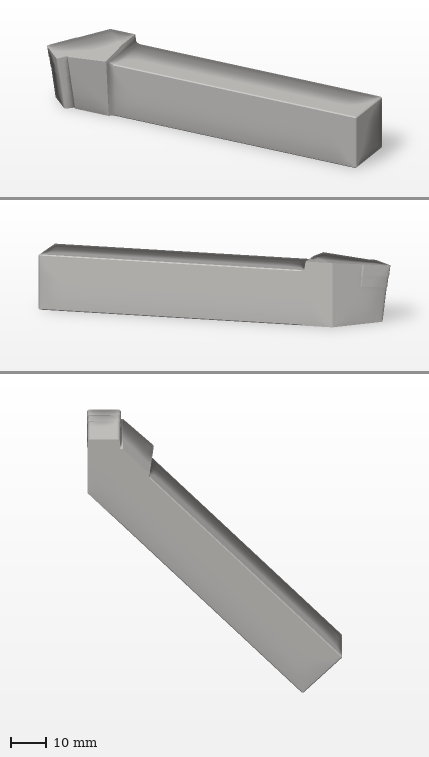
import cadquery as cq
import math


length = 99.7
shank_size = 15.9
shank_chamfer = 0.3

head_height = 18.5
corner_x = 13.2
head_end_x = 21.3
step_lean = 0.3
step_fillet = 0.9
front_y = -18.4
front_lean_angle = 5.6

insert_size = 9.6
insert_thickness = 3.2
nose_radius = 0.8
insert_overhang = 0.2
shim_inset = 0.1
shim_thickness = 3.2
post_inset = 0.2
post_radius = 0.9
end_wall_run = 3.1

nose_z = 15.9
nose_run = -9.6
corner_run = corner_x / math.sqrt(2)
side_face = -corner_run
tilt = math.atan((head_height - nose_z) / (corner_run - nose_run))
diagonal = math.sqrt(0.5)
insert_left = side_face + insert_overhang
insert_right = insert_left - insert_size

edge_middle = (insert_left + insert_right) / 2
seat = cq.Plane(
    origin=((nose_run - edge_middle) * diagonal, (nose_run + edge_middle) * diagonal, nose_z),
    xDir=(math.cos(tilt) * diagonal, math.cos(tilt) * diagonal, math.sin(tilt)),
    normal=(-math.sin(tilt) * diagonal, -math.sin(tilt) * diagonal, math.cos(tilt)),
)
reach = 2 * length
post_depth = 2 * head_height


def seat_block(start, end, half_width, top_depth, thickness, radius):
    """Block in the tilted seat frame with its four upright corners rounded."""
    block = (
        cq.Workplane(seat)
        .workplane(offset=-top_depth - thickness)
        .center((start + end) / 2, 0)
        .rect(end - start, 2 * half_width)
        .extrude(thickness)
    )
    axis = cq.Vector(seat.zDir)
    return block.edges(cq.selectors.ParallelDirSelector(axis)).fillet(radius)


def make_insert():
    return seat_block(0, insert_size, insert_size / 2, 0, insert_thickness, nose_radius)


def make_shank():
    shank = cq.Workplane("XY").box(length - corner_x, shank_size, shank_size, centered=False)
    shank = shank.translate((corner_x, -shank_size, 0))
    return shank.edges("|X or >X").chamfer(shank_chamfer)


def make_front_wedge():
    """Waste in front of the leaning front face."""
    front_lean = head_height * math.tan(math.radians(front_lean_angle))
    return (
        cq.Workplane("YZ")
        .polyline([(front_y, 0), (front_y + front_lean, 0), (front_y, head_height)])
        .close()
        .extrude(reach, both=True)
    )


def make_head():
    far_x = corner_x - head_height
    head = (
        cq.Workplane("XZ")
        .polyline([
            (far_x, 0),
            (head_end_x, 0),
            (head_end_x, shank_size + step_fillet),
            (head_end_x - step_lean, head_height),
            (far_x, head_height),
        ])
        .close()
        .extrude(-front_y)
    )
    side_wedge = (
        cq.Workplane("XY")
        .polyline([(corner_x, 0), (corner_x + front_y, front_y), (far_x, front_y), (far_x, 0)])
        .close()
        .extrude(head_height)
    )
    slope = (
        cq.Workplane(seat)
        .center(end_wall_run + reach / 2, 0)
        .rect(reach, reach)
        .extrude(-reach)
    )
    return head.cut(make_front_wedge()).cut(side_wedge).intersect(slope)


def make_post():
    """Post that carries the shim, flush with the head's side face."""
    post = seat_block(
        post_inset, insert_size, insert_size / 2 - post_inset,
        insert_thickness, post_depth, post_radius,
    )
    above_base = cq.Workplane("XY").box(reach, reach, reach, centered=(True, True, False))
    return post.intersect(above_base)


def make_shim():
    return seat_block(
        shim_inset, insert_size, insert_size / 2 - shim_inset,
        insert_thickness, shim_thickness, post_radius,
    )


def flare_section(plane, direction):
    """Section of the shank's root, widening in a concave arc up to the step."""
    face = direction * shank_size
    wide_face = direction * (shank_size + step_fillet)
    arc_inset = step_fillet * (1 - diagonal)
    return (
        cq.Workplane(plane)
        .moveTo(corner_x, 0)
        .lineTo(head_end_x + step_fillet, 0)
        .lineTo(head_end_x + step_fillet, face)
        .threePointArc(
            (head_end_x + arc_inset, face + direction * arc_inset),
            (head_end_x, wide_face),
        )
        .lineTo(corner_x, wide_face)
        .close()
    )


def make_step_fillet():
    """Concave fillet from the shank's top and front faces to the step, mitred at the corner."""
    wide = shank_size + step_fillet
    flare_up = flare_section("XZ", 1).extrude(wide)
    flare_forward = flare_section("XY", -1).extrude(wide)
    return flare_up.intersect(flare_forward).cut(make_front_wedge())


def make_holder(insert):
    holder = make_head().union(make_shank()).union(make_step_fillet())
    return holder.union(make_post()).union(make_shim()).cut(insert)


insert = make_insert()
holder = make_holder(insert)
result = cq.Compound.makeCompound([holder.solids().val(), insert.val()])